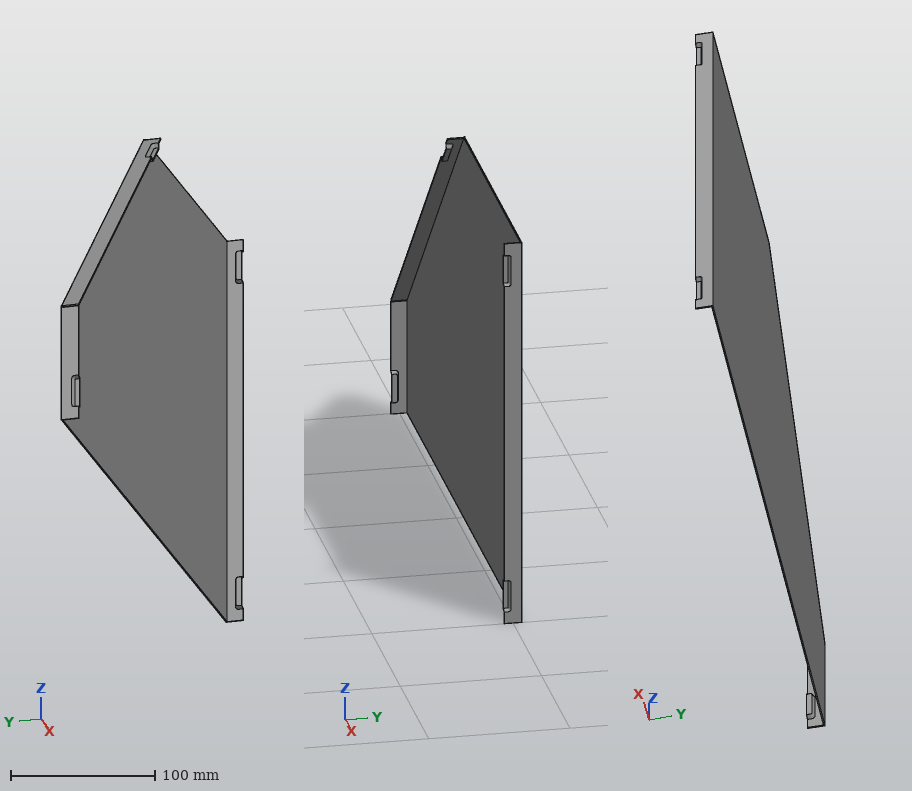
import cadquery as cq
import math

width = 400.0
height = 284.0
thickness = 1.0
flange_depth = 12.5
slope_run = 200.0
corner_gap = 1.0

dent_length = 23.0
dent_depth = 5.0
dent_press = 3.0
dent_radius = 2.0
dent_taper = 25.0
dent_offset = 20.5

tip_rise = thickness * math.sin(math.radians(45))
left_height = height + tip_rise - slope_run
slope_length = slope_run * math.sqrt(2)


def dent_body(center, growth, press):
    """Tapered trough pressed down from Z = 0, cut off flush with the free edge."""
    length = dent_length + 2 * growth
    reach = dent_depth + growth
    outline = cq.Sketch().rect(length, 2 * reach).vertices().fillet(dent_radius + growth)
    trough = (
        cq.Workplane("XY", origin=(center, -flange_depth, 0))
        .placeSketch(outline)
        .extrude(-press, taper=dent_taper)
    )
    keep = cq.Workplane("XY").box(length, reach, press, centered=(True, False, False))
    return trough.intersect(keep.translate((center, -flange_depth, -press)))


def flange(first, last, dent_centers, angle, origin):
    """Dented flange running along local X, facing outward along local Z."""
    body = cq.Workplane("XY").box(
        last - first, flange_depth, thickness, centered=False
    ).translate((first, -flange_depth, -thickness))
    for center in dent_centers:
        body = body.union(dent_body(center, thickness, dent_press + thickness))
        body = body.cut(dent_body(center, 0, dent_press))
    return body.rotate((0, 0, 0), (0, 1, 0), angle).translate(origin)


plate = (
    cq.Workplane("XZ")
    .polyline([
        (0, 0),
        (width, 0),
        (width, height),
        (slope_run + tip_rise, height),
        (slope_run, height + tip_rise),
        (0, left_height),
    ])
    .close()
    .extrude(thickness)
)

left_flange = flange(0, left_height - corner_gap, [dent_offset], -90, (0, 0, 0))
sloped_flange = flange(
    corner_gap,
    slope_length - corner_gap,
    [slope_length - dent_offset],
    -45,
    (0, 0, left_height),
)
right_flange = flange(
    0, height, [dent_offset, height - dent_offset], 90, (width, 0, height)
)

result = plate.union(left_flange).union(sloped_flange).union(right_flange)